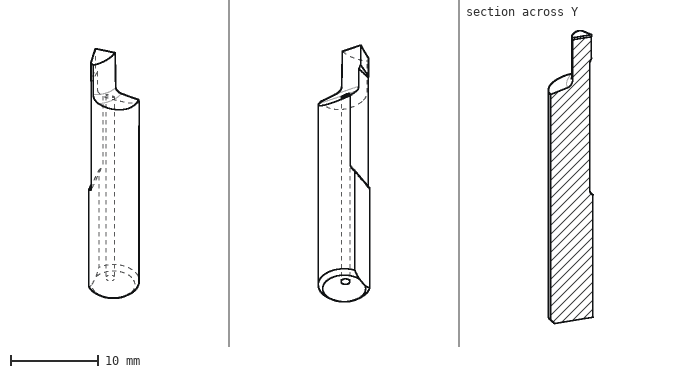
import cadquery as cq
import math

length = 35.0
shank_diameter = 6.0
shank_radius = shank_diameter / 2
end_chamfer = 0.52
margin = 10.5

overall_width = 5.35
clamp_flat_x = shank_radius - overall_width
relief_flat_x = -1.95
tip_edge_x = -2.17
relief_start_z = 15.15
relief_round_end_z = 15.9
tip_taper_start_z = 31.55
tip_wedge_overlap = 0.35
tip_start_z = 32.05
relief_angle = 1.2
clearance_angle = 5.0

rake_top_y = 0.0
rake_bottom_y = 0.15
rake_bottom_z = 28.45
run_out_angle = 48.7
run_out_fillet = 1.4

neck_center = (-3.8, 1.05)
neck_radius = 4.2
shoulder_axis_z = 29.15
shoulder_angle = 13.0
shoulder_fillet = 0.8

top_angle = 7.5
coolant_center = (-0.75, 1.05)
coolant_diameter = 1.0


def make_shank():
    shank = cq.Workplane("XY").circle(shank_radius).extrude(length)
    return shank.faces("<Z").chamfer(end_chamfer)


def relief_cutter():
    """Material removed on -X along the relief flat, past the rounded step and around the tip."""
    depth = relief_flat_x - clamp_flat_x
    rise = relief_round_end_z - relief_start_z
    round_radius = (depth**2 + rise**2) / (2 * depth)
    half_sweep = math.asin(rise / round_radius) / 2
    round_middle = (
        relief_flat_x - round_radius * (1 - math.cos(half_sweep)),
        relief_round_end_z - round_radius * math.sin(half_sweep),
    )
    cutter = (
        cq.Workplane("XZ")
        .moveTo(-margin, relief_start_z)
        .lineTo(clamp_flat_x, relief_start_z)
        .threePointArc(round_middle, (relief_flat_x, relief_round_end_z))
        .lineTo(relief_flat_x, tip_start_z)
        .lineTo(-margin, tip_start_z)
        .close()
        .extrude(margin, both=True)
    )
    cutter = cutter.rotate((relief_flat_x, 0, 0), (relief_flat_x, 0, 1), relief_angle)
    return cutter.cut(tip_underside())


def tip_underside():
    """Wedge kept under the tip; its sloping lower face runs parallel to the tip's side face."""
    wedge = (
        cq.Workplane("XZ")
        .moveTo(tip_edge_x, tip_start_z)
        .lineTo(relief_flat_x, tip_taper_start_z)
        .lineTo(relief_flat_x + tip_wedge_overlap, tip_taper_start_z)
        .lineTo(relief_flat_x + tip_wedge_overlap, tip_start_z)
        .close()
        .extrude(margin, both=True)
    )
    return wedge.rotate((tip_edge_x, 0, 0), (tip_edge_x, 0, 1), clearance_angle)


def flat_cutter(flat_x, bottom_z):
    """Block whose +X face lies on the flat, from bottom_z upward."""
    height = length + margin - bottom_z
    block = cq.Workplane("XY").box(margin, 2 * margin, height)
    return block.translate((flat_x - margin / 2, 0, bottom_z + height / 2))


def cut_side(body):
    clamp_flat = flat_cutter(clamp_flat_x, -margin)
    tip_flat = flat_cutter(tip_edge_x, tip_start_z)
    tip_flat = tip_flat.rotate((tip_edge_x, 0, 0), (tip_edge_x, 0, 1), clearance_angle)
    return body.cut(clamp_flat).cut(relief_cutter()).cut(tip_flat)


def cut_rake_face(body):
    run_out_drop = margin * math.tan(math.radians(run_out_angle))
    cutter = (
        cq.Workplane("YZ")
        .moveTo(rake_top_y, length)
        .lineTo(rake_bottom_y, rake_bottom_z)
        .lineTo(rake_bottom_y + margin, rake_bottom_z - run_out_drop)
        .lineTo(rake_bottom_y + margin, length + margin)
        .lineTo(rake_top_y, length + margin)
        .close()
        .extrude(margin, both=True)
    )
    root = cq.selectors.NearestToPointSelector((0, rake_bottom_y, rake_bottom_z))
    return body.cut(cutter.edges("|X").edges(root).fillet(run_out_fillet))


def cut_neck(body):
    drop = margin * math.tan(math.radians(shoulder_angle))
    above_shoulder = (
        cq.Workplane("XZ")
        .moveTo(-margin, shoulder_axis_z + drop)
        .lineTo(margin, shoulder_axis_z - drop)
        .lineTo(margin, length + margin)
        .lineTo(-margin, length + margin)
        .close()
        .extrude(margin, both=True)
    )
    neck = cq.Workplane("XY").center(*neck_center).circle(neck_radius).extrude(length + 2 * margin)
    cutter = above_shoulder.cut(neck)
    root = cq.selectors.NearestToPointSelector((*neck_center, shoulder_axis_z))
    cutter = cutter.edges("%ELLIPSE").edges(root).fillet(shoulder_fillet)
    return body.cut(cutter)


def cut_top(body):
    drop = margin * math.tan(math.radians(top_angle))
    cutter = (
        cq.Workplane("YZ")
        .moveTo(rake_top_y, length)
        .lineTo(rake_top_y - margin, length - drop)
        .lineTo(rake_top_y - margin, length + margin)
        .lineTo(rake_top_y, length + margin)
        .close()
        .extrude(margin, both=True)
    )
    return body.cut(cutter)


def cut_coolant_hole(body):
    hole = cq.Workplane("XY").center(*coolant_center).circle(coolant_diameter / 2).extrude(length)
    return body.cut(hole)


body = make_shank()
body = cut_side(body)
body = cut_rake_face(body)
body = cut_neck(body)
body = cut_top(body)
result = cut_coolant_hole(body)